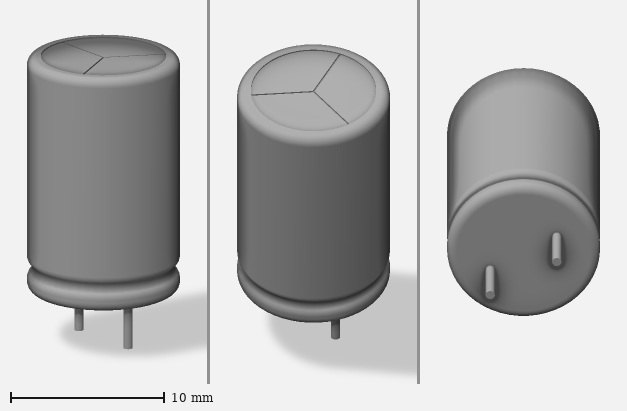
import cadquery as cq
import math

total_height = 19.41
lead_length = 3.4
lead_diameter = 0.6
lead_spacing = 5.0

can_height = total_height - lead_length
can_radius = 10.0 / 2
edge_radius = 0.6

crimp_lip_radius = 0.6
crimp_hollow_radius = 0.5
crimp_angle = math.radians(45)
crimp_start = 0.82

recess_radius = 4.1
recess_depth = 0.1
recess_floor = can_height - recess_depth
slot_width = 0.12
slot_depth = 0.1
slot_count = 3
first_slot_angle = 60.0


def can_profile():
    """Half section of the can in the XZ plane, closed along the axis."""
    lip_height = crimp_lip_radius * math.sin(crimp_angle)
    lip_depth = crimp_lip_radius * (1 - math.cos(crimp_angle))
    hollow_half_height = crimp_hollow_radius * math.sin(crimp_angle)
    lower_blend = crimp_start + lip_height
    upper_blend = lower_blend + 2 * hollow_half_height
    crimp_end = upper_blend + lip_height
    rim_radius = can_radius - edge_radius
    blend_radius = can_radius - lip_depth
    return (
        cq.Workplane("XZ")
        .lineTo(rim_radius, 0)
        .tangentArcPoint((can_radius, edge_radius), relative=False)
        .lineTo(can_radius, crimp_start)
        .tangentArcPoint((blend_radius, lower_blend), relative=False)
        .tangentArcPoint((blend_radius, upper_blend), relative=False)
        .tangentArcPoint((can_radius, crimp_end), relative=False)
        .lineTo(can_radius, can_height - edge_radius)
        .tangentArcPoint((rim_radius, can_height), relative=False)
        .lineTo(0, can_height)
        .close()
    )


def top_recess():
    return cq.Workplane("XY", origin=(0, 0, recess_floor)).circle(recess_radius).extrude(recess_depth)


def vent_slots():
    """Radial slots from the centre to the recess wall, cut below the recess floor."""
    slot_bottom = cq.Workplane("XY", origin=(0, 0, recess_floor - slot_depth))
    bar = slot_bottom.rect(recess_radius, slot_width).extrude(slot_depth)
    bar = bar.translate((recess_radius / 2, 0, 0))
    slots = cq.Workplane("XY")
    for i in range(slot_count):
        angle = first_slot_angle + i * 360 / slot_count
        slots = slots.add(bar.rotate((0, 0, 0), (0, 0, 1), angle))
    return slots.combine()


def leads():
    return (
        cq.Workplane("XY")
        .pushPoints([(-lead_spacing / 2, 0), (lead_spacing / 2, 0)])
        .circle(lead_diameter / 2)
        .extrude(-lead_length)
    )


can = can_profile().revolve(360, (0, 0, 0), (0, 1, 0))
result = can.cut(top_recess()).cut(vent_slots()).union(leads())